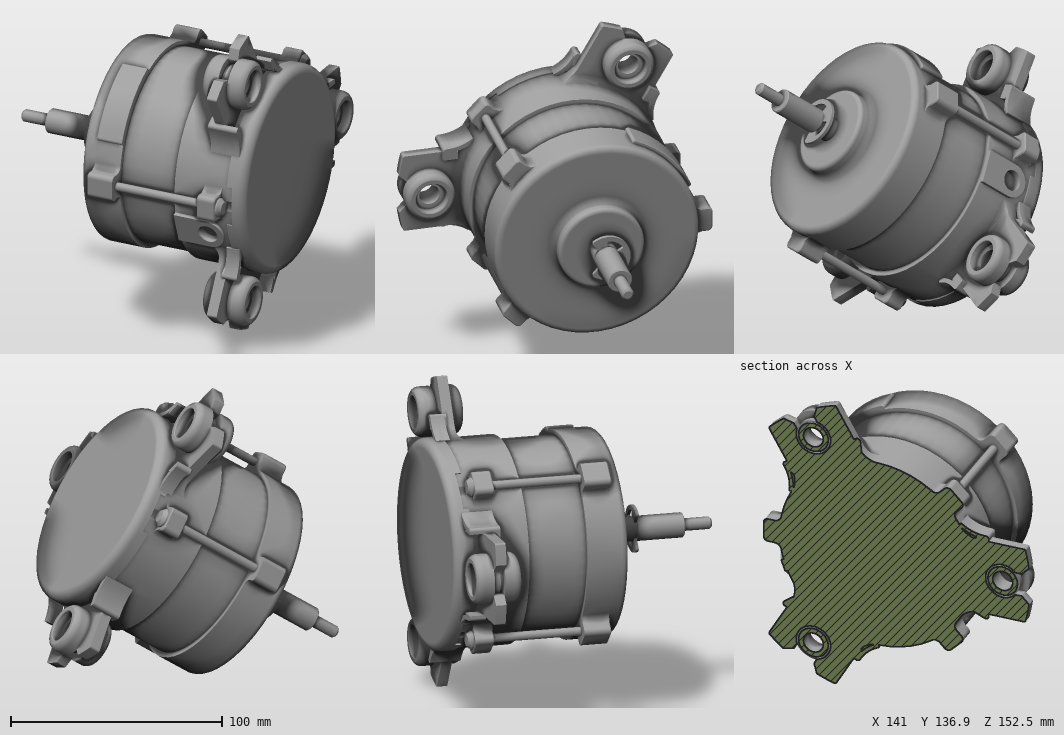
import cadquery as cq
import math


shaft_tip_x = -55.0
shaft_shoulder_x = -40.8
shaft_tip_d = 6.0
shaft_d = 12.0
shaft_tip_chamfer = 1.0
shaft_shoulder_chamfer = 0.5
clip_x = -17.4
clip_thickness = 1.6
clip_groove_d = 10.0
clip_r = 11.4
clip_relief_r = 9.0
clip_relief_angles = (30.0, 90.0)
clip_mouth_half_angle = 49.0
clip_tip_fillet = 1.2

boss_r = 21.0
boss_length = 7.8
boss_front_fillet = 2.0
boss_root_fillet = 3.1
cover_r = 50.0
cover_front_fillet = 3.1
cover_end_x = 20.4
stator_r = 47.5
stator_end_x = 49.2
rear_r = 50.8
rear_step_x = 76.7
rear_end_x = 86.0
rear_fillet = 4.1
inside_r = 46.0

bolt_angles = (45.0, 180.0, 315.0)
bolt_circle_r = 53.0
bolt_d = 4.2
bolt_head_d = 9.23
bolt_head_height = 2.6
bolt_head_rim = 0.8
bolt_head_top_d = 6.0
lug_outer_r = 58.2
lug_half_width = 6.2
lug_corner_fillet = 2.3
lug_edge_chamfer = 0.5
lug_root_fillet = 3.2
front_lug_x = 7.1
rear_lug_x = 64.8
rear_lug_end_x = 74.1
window_half_width = 9.8
window_end_x = 79.6
head_clearance_d = 8.0

band_r = 51.9
band_mid_angle = 135.0
band_half_angle = 23.0
band_end_fillet = 1.3
band_edge_chamfer = 0.4

pad_angle = 200.0
pad_face_r = 51.3
pad_half_width = 8.2
pad_hole_x = 65.9
pad_hole_d = 10.0
pad_hole_depth = 4.4

arm_angles = (0.0, 120.0, 240.0)
plate_mid_x = 71.5
plate_thickness = 5.2
plate_front_x = plate_mid_x - plate_thickness / 2
plate_back_x = plate_mid_x + plate_thickness / 2
arm_half_width = 20.0
arm_root_depth_r = 37.0
arm_tip_r = 79.27
arm_corner_fillet = 1.0
slot_mouth_half_width = 9.8
slot_half_width = 5.9
arm_flare_start = 53.0
arm_flare_r = 12.2
arm_flare_sweep = 55.0
arm_web_fillet = 3.1
grommet_circle_r = 65.0
grommet_d = 24.0
grommet_face_d = 20.0
grommet_length = 21.8
grommet_edge_length = 3.35
grommet_seat_d = 17.5
grommet_neck_d = 15.5
grommet_ridge_d = 17.2
grommet_ridge_width = 2.4
grommet_bore_d = 10.0
grommet_counterbore_d = 15.5
grommet_counterbore_depth = 4.5
grommet_counterbore_chamfer = 0.35

strap_bend_r = 20.0
strap_thickness = 2.2
strap_bend_sweep = 38.0
strap_outer_t = 22.75
strap_bend_start = 55.8
strap_tip_r = 57.9
strap_tip_fillet = 1.5
strap_end_x = 81.0
front_strap_x = 65.9
rear_strap_x = plate_back_x
rear_strap_tip_x = 73.0
strap_lip_r = 50.7
strap_lip_t = 16.8


def polar(radius, degrees):
    angle = math.radians(degrees)
    return radius * math.cos(angle), radius * math.sin(angle)


def about_axis(shape, degrees):
    return shape.rotate((0, 0, 0), (1, 0, 0), degrees)


def cross_section(x):
    """Plane across the motor axis: local x is Y (radial at 0 degrees), local y is Z."""
    return cq.Workplane("YZ", origin=(x, 0, 0))


def x_cylinder(x_start, x_end, diameter, y=0.0):
    return cross_section(x_start).center(y, 0).circle(diameter / 2).extrude(x_end - x_start)


def round_edge(solid, point, radius):
    """Fillet the edge parallel to X that lies nearest to a point."""
    nearest = cq.selectors.NearestToPointSelector(point)
    return solid.edges("|X").edges(nearest).fillet(radius)


def make_housing():
    quarter = math.sqrt(0.5)
    front_centre_r = boss_r - boss_front_fillet
    root_centre_r = boss_r + boss_root_fillet
    cover_centre_r = cover_r - cover_front_fillet
    rear_centre_r = rear_r - rear_fillet
    front_centre_x = -boss_length + boss_front_fillet
    rear_centre_x = rear_end_x - rear_fillet
    profile = (
        cq.Workplane("XY")
        .moveTo(-boss_length, 0)
        .lineTo(-boss_length, front_centre_r)
        .threePointArc(
            (front_centre_x - quarter * boss_front_fillet, front_centre_r + quarter * boss_front_fillet),
            (front_centre_x, boss_r),
        )
        .lineTo(-boss_root_fillet, boss_r)
        .threePointArc(
            ((quarter - 1) * boss_root_fillet, root_centre_r - quarter * boss_root_fillet),
            (0, root_centre_r),
        )
        .lineTo(0, cover_centre_r)
        .threePointArc(
            ((1 - quarter) * cover_front_fillet, cover_centre_r + quarter * cover_front_fillet),
            (cover_front_fillet, cover_r),
        )
        .lineTo(cover_end_x, cover_r)
        .lineTo(cover_end_x, stator_r)
        .lineTo(stator_end_x, stator_r)
        .lineTo(stator_end_x, cover_r)
        .lineTo(window_end_x, cover_r)
        .lineTo(window_end_x, rear_r)
        .lineTo(rear_centre_x, rear_r)
        .threePointArc(
            (rear_centre_x + quarter * rear_fillet, rear_centre_r + quarter * rear_fillet),
            (rear_end_x, rear_centre_r),
        )
        .lineTo(rear_end_x, 0)
        .close()
    )
    return profile.revolve(360, (0, 0, 0), (1, 0, 0))


def make_shaft():
    tip = x_cylinder(shaft_tip_x, 0, shaft_tip_d).faces("<X").chamfer(shaft_tip_chamfer)
    body = x_cylinder(shaft_shoulder_x, 0, shaft_d).faces("<X").chamfer(shaft_shoulder_chamfer)
    clip_end_x = clip_x + clip_thickness
    groove = x_cylinder(clip_x, clip_end_x, 2 * shaft_d).cut(x_cylinder(clip_x, clip_end_x, clip_groove_d))
    return tip.union(body).cut(groove)


def make_clip():
    """E-shaped retaining ring whose mouth opens toward +Y."""
    def sector(inner_r, outer_r, start, end):
        middle = (start + end) / 2
        return (
            cross_section(clip_x)
            .moveTo(*polar(inner_r, start))
            .lineTo(*polar(outer_r, start))
            .threePointArc(polar(outer_r, middle), polar(outer_r, end))
            .lineTo(*polar(inner_r, end))
            .threePointArc(polar(inner_r, middle), polar(inner_r, start))
            .close()
            .extrude(clip_thickness)
        )

    bore_r = clip_groove_d / 2
    mouth = clip_mouth_half_angle
    clip = sector(bore_r, clip_r, mouth, 360 - mouth)
    mid_x = clip_x + clip_thickness / 2
    for tip_angle in (mouth, -mouth):
        clip = round_edge(clip, (mid_x, *polar(clip_r, tip_angle)), clip_tip_fillet)
    start, end = clip_relief_angles
    for first, last in ((180 - end, 180 - start), (180 + start, 180 + end)):
        clip = clip.cut(sector(bore_r, clip_relief_r, first, last))
    return clip


def make_lug(x_start, x_end, chamfered_faces):
    """Bolt lug at 0 degrees: rounded block blended into the cover on both sides."""
    f = lug_root_fillet
    centre_t = lug_half_width + f
    centre_r = math.sqrt((cover_r + f) ** 2 - centre_t ** 2)
    foot_angle = math.degrees(math.atan2(centre_t, centre_r))
    foot = polar(cover_r, foot_angle)
    dip = polar(f, (180 + foot_angle + 270) / 2)
    dip = (centre_r + dip[0], centre_t + dip[1])
    length = x_end - x_start
    root = (
        cross_section(x_start)
        .moveTo(inside_r, -foot[1])
        .lineTo(foot[0], -foot[1])
        .threePointArc((dip[0], -dip[1]), (centre_r, -lug_half_width))
        .lineTo(centre_r, lug_half_width)
        .threePointArc(dip, foot)
        .lineTo(inside_r, foot[1])
        .close()
        .extrude(length)
    )
    block = (
        cross_section(x_start)
        .center((inside_r + lug_outer_r) / 2, 0)
        .rect(lug_outer_r - inside_r, 2 * lug_half_width)
        .extrude(length)
        .edges("|X and >Y")
        .fillet(lug_corner_fillet)
        .faces(chamfered_faces)
        .chamfer(lug_edge_chamfer)
    )
    return root.union(block)


def make_bolt_set():
    head_rim_x = rear_lug_end_x + bolt_head_rim
    head_end_x = rear_lug_end_x + bolt_head_height
    head = (
        cq.Workplane("XY")
        .moveTo(rear_lug_end_x, 0)
        .lineTo(rear_lug_end_x, bolt_head_d / 2)
        .lineTo(head_rim_x, bolt_head_d / 2)
        .lineTo(head_end_x, bolt_head_top_d / 2)
        .lineTo(head_end_x, 0)
        .close()
        .revolve(360, (0, 0, 0), (1, 0, 0))
        .translate((0, bolt_circle_r, 0))
    )
    return (
        make_lug(front_lug_x, cover_end_x, "<X")
        .union(make_lug(rear_lug_x, rear_lug_end_x, "<X or >X"))
        .union(x_cylinder(front_lug_x, rear_lug_end_x, bolt_d, bolt_circle_r))
        .union(head)
    )


def make_rear_rim():
    """Front part of the raised rear rim, interrupted by a window behind each bolt."""
    length = window_end_x - rear_step_x
    rim = cross_section(rear_step_x).circle(rear_r).circle(inside_r).extrude(length)
    window = (
        cross_section(rear_step_x)
        .center(rear_r, 0)
        .rect(2 * (rear_r - inside_r), 2 * window_half_width)
        .extrude(length)
    )
    for angle in bolt_angles:
        rim = rim.cut(about_axis(window, angle))
    return rim


def make_cover_band():
    """Raised band segment around the front cover."""
    start = polar(band_r, -band_half_angle)
    end = polar(band_r, band_half_angle)
    band = (
        cross_section(front_lug_x)
        .moveTo(*polar(inside_r, -band_half_angle))
        .lineTo(*start)
        .threePointArc((band_r, 0), end)
        .lineTo(*polar(inside_r, band_half_angle))
        .close()
        .extrude(cover_end_x - front_lug_x)
    )
    mid_x = (front_lug_x + cover_end_x) / 2
    for point in (start, end):
        band = round_edge(band, (mid_x, *point), band_end_fillet)
    band = band.faces("<X").chamfer(band_edge_chamfer)
    return about_axis(band, band_mid_angle)


def make_pad():
    """Flat-faced pad at 0 degrees, round at its rear end."""
    height = pad_face_r - inside_r
    floor = cq.Workplane("XZ", origin=(0, inside_r, 0))
    return (
        floor
        .moveTo(stator_end_x, -pad_half_width)
        .lineTo(pad_hole_x, -pad_half_width)
        .threePointArc((pad_hole_x + pad_half_width, 0), (pad_hole_x, pad_half_width))
        .lineTo(stator_end_x, pad_half_width)
        .close()
        .extrude(-height)
    )


def make_pad_hole():
    """Blind hole drilled radially into the pad."""
    return (
        cq.Workplane("XZ", origin=(pad_hole_x, pad_face_r, 0))
        .circle(pad_hole_d / 2)
        .extrude(pad_hole_depth)
    )


def arm_outline(x_start, x_end):
    """Arm at 0 degrees: flared root, slotted tip."""
    def flare_point(sweep):
        offset = polar(arm_flare_r, 270 - sweep)
        return arm_flare_start + offset[0], arm_half_width + arm_flare_r + offset[1]

    flare_mid = flare_point(arm_flare_sweep / 2)
    flare_end = flare_point(arm_flare_sweep)
    mouth_r = math.sqrt(arm_tip_r ** 2 - slot_mouth_half_width ** 2)
    throat_r = mouth_r - (slot_mouth_half_width - slot_half_width)
    shoulder_angle = math.degrees(math.asin(arm_half_width / arm_tip_r))
    mouth_angle = math.degrees(math.asin(slot_mouth_half_width / arm_tip_r))
    shoulder = polar(arm_tip_r, shoulder_angle)
    tip_mid = polar(arm_tip_r, (shoulder_angle + mouth_angle) / 2)
    outline = (
        cross_section(x_start)
        .moveTo(arm_root_depth_r, -flare_end[1])
        .lineTo(flare_end[0], -flare_end[1])
        .threePointArc((flare_mid[0], -flare_mid[1]), (arm_flare_start, -arm_half_width))
        .lineTo(shoulder[0], -arm_half_width)
        .threePointArc((tip_mid[0], -tip_mid[1]), (mouth_r, -slot_mouth_half_width))
        .lineTo(throat_r, -slot_half_width)
        .lineTo(grommet_circle_r, -slot_half_width)
        .lineTo(grommet_circle_r, slot_half_width)
        .lineTo(throat_r, slot_half_width)
        .lineTo(mouth_r, slot_mouth_half_width)
        .threePointArc(tip_mid, shoulder)
        .lineTo(arm_flare_start, arm_half_width)
        .threePointArc(flare_mid, flare_end)
        .lineTo(arm_root_depth_r, flare_end[1])
        .close()
    )
    arm = outline.extrude(x_end - x_start)
    mid_x = (x_start + x_end) / 2
    for side in (1, -1):
        arm = round_edge(arm, (mid_x, shoulder[0], side * shoulder[1]), arm_corner_fillet)
    return arm


def make_arm_plate():
    plate = arm_outline(plate_front_x, plate_back_x)
    web_start_x = plate_front_x - arm_web_fillet
    web_outer_r = cover_r + arm_web_fillet
    quarter = math.sqrt(0.5) * arm_web_fillet
    web = (
        cq.Workplane("XY")
        .moveTo(web_start_x, inside_r)
        .lineTo(web_start_x, cover_r)
        .threePointArc(
            (web_start_x + quarter, web_outer_r - quarter),
            (plate_front_x, web_outer_r),
        )
        .lineTo(plate_front_x, inside_r)
        .close()
        .revolve(360, (0, 0, 0), (1, 0, 0))
    )
    return plate.union(web.intersect(arm_outline(web_start_x, plate_front_x)))


def make_strap(bend_x, tip_x):
    """Strap on the +Z side of the arm at 0 degrees, bending outward to meet the housing."""
    centre_t = strap_outer_t + strap_bend_r
    inner_t = strap_outer_t - strap_thickness

    def bend_point(radius, sweep):
        offset = polar(radius, 270 - sweep)
        return strap_bend_start + offset[0], centre_t + offset[1]

    inner_bend_r = strap_bend_r + strap_thickness
    bend = (
        cross_section(bend_x)
        .moveTo(strap_bend_start, strap_outer_t)
        .threePointArc(
            bend_point(strap_bend_r, strap_bend_sweep / 2),
            bend_point(strap_bend_r, strap_bend_sweep),
        )
        .lineTo(*bend_point(inner_bend_r, strap_bend_sweep))
        .threePointArc(bend_point(inner_bend_r, strap_bend_sweep / 2), (strap_bend_start, inner_t))
        .close()
        .extrude(strap_end_x - bend_x)
    )
    tip = (
        cross_section(tip_x)
        .moveTo(strap_lip_r, arm_half_width)
        .lineTo(strap_tip_r, arm_half_width)
        .lineTo(strap_tip_r, strap_outer_t)
        .lineTo(strap_bend_start, strap_outer_t)
        .lineTo(strap_lip_r, inner_t)
        .close()
        .extrude(strap_end_x - tip_x)
        .edges("|X").edges(">Y").edges(">Z").fillet(strap_tip_fillet)
    )
    return bend.union(tip)


def make_front_strap_lip():
    """Lip that hooks the strap over the front of the plate."""
    return (
        cross_section(front_strap_x)
        .moveTo(strap_lip_r, strap_lip_t)
        .lineTo(strap_tip_r, strap_lip_t)
        .lineTo(strap_tip_r, arm_half_width)
        .lineTo(strap_lip_r, arm_half_width)
        .close()
        .extrude(plate_front_x - front_strap_x)
    )


def make_grommet():
    half = grommet_length / 2
    rim_r = grommet_d / 2
    face_r = grommet_face_d / 2
    edge = grommet_edge_length
    drop = rim_r - face_r
    arc_r = (edge ** 2 + drop ** 2) / (2 * drop)
    arc_sweep = math.asin(edge / arc_r)
    mid_x = half - edge + arc_r * math.sin(arc_sweep / 2)
    mid_r = rim_r - arc_r + arc_r * math.cos(arc_sweep / 2)
    gap = plate_thickness / 2
    neck_r = grommet_neck_d / 2
    ridge_r = grommet_ridge_d / 2
    ridge = grommet_ridge_width / 2
    bore_r = grommet_bore_d / 2
    seat_r = grommet_counterbore_d / 2
    seat_x = half - grommet_counterbore_depth
    chamfer = grommet_counterbore_chamfer
    return (
        cq.Workplane("XY")
        .moveTo(-seat_x, bore_r)
        .lineTo(-seat_x, seat_r)
        .lineTo(chamfer - half, seat_r)
        .lineTo(-half, seat_r + chamfer)
        .lineTo(-half, face_r)
        .threePointArc((-mid_x, mid_r), (edge - half, rim_r))
        .lineTo(-gap, rim_r)
        .lineTo(-gap, neck_r)
        .lineTo(-ridge, neck_r)
        .lineTo(-ridge, ridge_r)
        .lineTo(ridge, ridge_r)
        .lineTo(ridge, neck_r)
        .lineTo(gap, neck_r)
        .lineTo(gap, rim_r)
        .lineTo(half - edge, rim_r)
        .threePointArc((mid_x, mid_r), (half, face_r))
        .lineTo(half, seat_r + chamfer)
        .lineTo(half - chamfer, seat_r)
        .lineTo(seat_x, seat_r)
        .lineTo(seat_x, bore_r)
        .close()
        .revolve(360, (0, 0, 0), (1, 0, 0))
        .translate((plate_mid_x, grommet_circle_r, 0))
    )


def make_arm():
    seat = x_cylinder(plate_front_x, plate_back_x, grommet_seat_d, grommet_circle_r)
    rear_strap = make_strap(rear_strap_x, rear_strap_tip_x).mirror("XY")
    return (
        make_arm_plate()
        .cut(seat)
        .union(make_grommet())
        .union(make_strap(front_strap_x, front_strap_x))
        .union(make_front_strap_lip())
        .union(rear_strap)
    )


result = (
    make_housing()
    .union(make_rear_rim())
    .union(make_shaft())
    .union(make_clip())
    .union(make_cover_band())
    .union(about_axis(make_pad(), pad_angle))
    .cut(about_axis(make_pad_hole(), pad_angle))
)
head_clearance = x_cylinder(rear_step_x, window_end_x, head_clearance_d, bolt_circle_r)
bolt_set = make_bolt_set()
for angle in bolt_angles:
    result = result.cut(about_axis(head_clearance, angle)).union(about_axis(bolt_set, angle))
arm = make_arm()
for angle in arm_angles:
    result = result.union(about_axis(arm, angle))